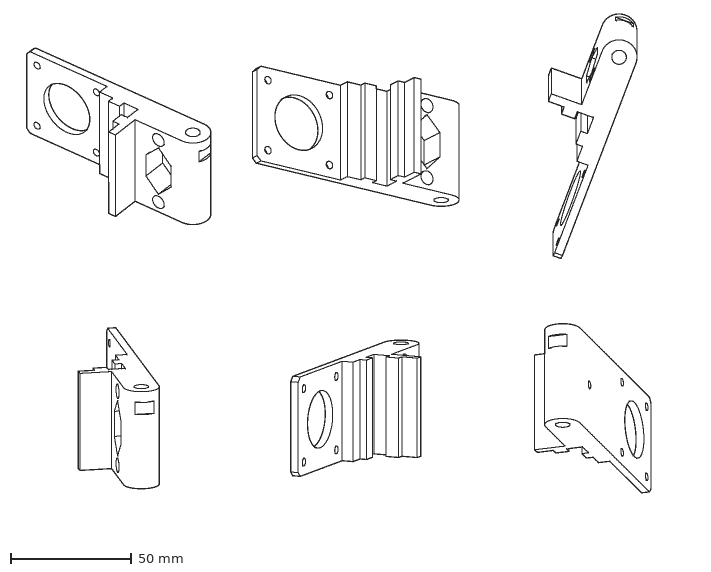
import cadquery as cq

length = 97.5
height = 42.0
mid_height = height / 2
plate_thickness = 3.5
corner_chamfer = 1.95

block_depth = 15.0
hinge_radius = block_depth / 2
hinge_x = length - hinge_radius
hinge_bore = 6.0

seat_depth = 8.5
key_width = 5.85
back_key_start = 48.8
back_key_depth = 11.4
flange_left = 62.0
flange_width = plate_thickness
flange_right = flange_left + flange_width
flange_depth = 28.5
side_key_left = 58.8
side_key_start = 15.6

motor_x = height / 2
motor_bore = 24.0
motor_hole_pitch = 31.0
screw_diameter = 3.2

pocket_x = 77.7
pocket_width = 13.1
pocket_side_height = 10.8
pocket_floor_y = -plate_thickness
pocket_depth = block_depth - plate_thickness
round_pocket_diameter = 6.0
round_pocket_offset = 16.0

notch_depth = 1.2
notch_height = 5.3
notch_top_gap = 4.7


def make_body():
    """Extrude the bracket outline along Z."""
    return (
        cq.Workplane("XY")
        .moveTo(0, 0)
        .lineTo(hinge_x, 0)
        .threePointArc((length, -hinge_radius), (hinge_x, -block_depth))
        .lineTo(flange_right, -block_depth)
        .lineTo(flange_right, -flange_depth)
        .lineTo(flange_left, -flange_depth)
        .lineTo(flange_left, -side_key_start - key_width)
        .lineTo(side_key_left, -side_key_start - key_width)
        .lineTo(side_key_left, -side_key_start)
        .lineTo(flange_left, -side_key_start)
        .lineTo(flange_left, -seat_depth)
        .lineTo(back_key_start + key_width, -seat_depth)
        .lineTo(back_key_start + key_width, -back_key_depth)
        .lineTo(back_key_start, -back_key_depth)
        .lineTo(back_key_start, -seat_depth)
        .lineTo(height, -seat_depth)
        .lineTo(height, -plate_thickness)
        .lineTo(0, -plate_thickness)
        .close()
        .extrude(height)
        .edges("|Y and <X")
        .chamfer(corner_chamfer)
    )


def front_plane(x, y=0.0):
    """XZ plane at depth y, centred on x at mid-height; extrusion runs toward -Y."""
    return cq.Workplane("XZ", origin=(x, y, mid_height))


def make_motor_holes():
    bore = front_plane(motor_x).circle(motor_bore / 2).extrude(plate_thickness)
    screws = (
        front_plane(motor_x)
        .rect(motor_hole_pitch, motor_hole_pitch, forConstruction=True)
        .vertices()
        .circle(screw_diameter / 2)
        .extrude(plate_thickness)
    )
    return bore.union(screws)


def make_block_pockets():
    """Pointed six-sided pocket, two round pockets and a central through hole."""
    half_width = pocket_width / 2
    half_side = pocket_side_height / 2
    tip = half_side + half_width
    pointed = (
        front_plane(pocket_x, pocket_floor_y)
        .polyline([
            (0, tip),
            (half_width, half_side),
            (half_width, -half_side),
            (0, -tip),
            (-half_width, -half_side),
            (-half_width, half_side),
        ])
        .close()
        .extrude(pocket_depth)
    )
    rounds = (
        front_plane(pocket_x, pocket_floor_y)
        .pushPoints([(0, round_pocket_offset), (0, -round_pocket_offset)])
        .circle(round_pocket_diameter / 2)
        .extrude(pocket_depth)
    )
    through_hole = front_plane(pocket_x).circle(screw_diameter / 2).extrude(block_depth)
    return pointed.union(rounds).union(through_hole)


def make_hinge_bore():
    return (
        cq.Workplane("XY", origin=(hinge_x, -hinge_radius, 0))
        .circle(hinge_bore / 2)
        .extrude(height)
    )


def make_end_notch():
    notch_bottom = height - notch_top_gap - notch_height
    return (
        cq.Workplane("XY", origin=(length - notch_depth, -block_depth, notch_bottom))
        .box(notch_depth, block_depth, notch_height, centered=False)
    )


result = (
    make_body()
    .cut(make_motor_holes())
    .cut(make_block_pockets())
    .cut(make_hinge_bore())
    .cut(make_end_notch())
)